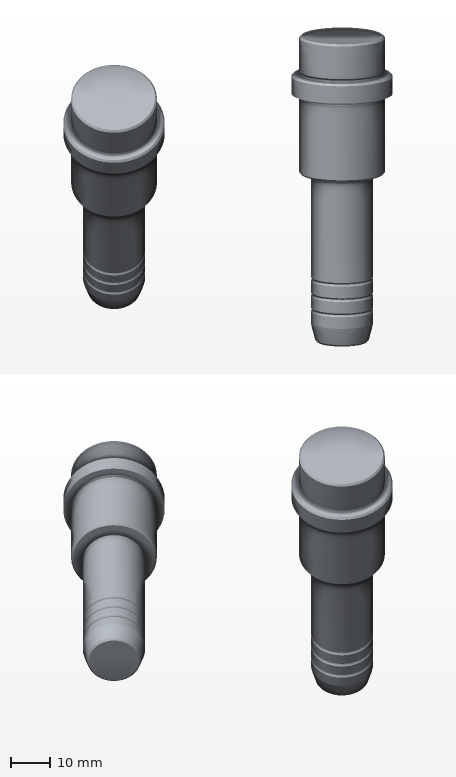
import cadquery as cq

LENGTH = 80.0
HEAD_RADIUS = 22.0 / 2
FLANGE_RADIUS = 26.0 / 2
SHANK_RADIUS = 8.0
EDGE = 0.5

FLANGE_TOP = 70.0
FLANGE_BOTTOM = 65.0
HEAD_BOTTOM = 44.0
SHANK_TOP = HEAD_BOTTOM - 2 * EDGE
TIP_TOP = 5.0

GROOVE_PITCH = 4.0
LOWEST_GROOVE = 8.5
GROOVE_COUNT = 3

TIP_RADIUS = 6.9
TIP_MID_RADIUS = 7.5

inner_head_radius = HEAD_RADIUS - EDGE
shank_neck_radius = SHANK_RADIUS - EDGE
tip_mid_height = (TIP_TOP + EDGE) / 2


def make_body():
    """Revolve the stepped half-section, from the tip up to the head."""
    section = (
        cq.Workplane("XZ")
        .lineTo(TIP_RADIUS - EDGE, 0)
        .lineTo(TIP_RADIUS, EDGE)
        .threePointArc((TIP_MID_RADIUS, tip_mid_height), (SHANK_RADIUS, TIP_TOP))
        .lineTo(SHANK_RADIUS, SHANK_TOP)
        .lineTo(shank_neck_radius, SHANK_TOP)
        .lineTo(shank_neck_radius, HEAD_BOTTOM)
        .lineTo(inner_head_radius, HEAD_BOTTOM)
        .lineTo(HEAD_RADIUS, HEAD_BOTTOM + EDGE)
        .lineTo(HEAD_RADIUS, FLANGE_BOTTOM - 2 * EDGE)
        .lineTo(inner_head_radius, FLANGE_BOTTOM - EDGE)
        .lineTo(HEAD_RADIUS, FLANGE_BOTTOM)
        .lineTo(FLANGE_RADIUS, FLANGE_BOTTOM)
        .lineTo(FLANGE_RADIUS, FLANGE_TOP - EDGE)
        .lineTo(FLANGE_RADIUS - EDGE, FLANGE_TOP)
        .lineTo(HEAD_RADIUS, FLANGE_TOP)
        .lineTo(inner_head_radius, FLANGE_TOP + EDGE)
        .lineTo(HEAD_RADIUS, FLANGE_TOP + 2 * EDGE)
        .lineTo(HEAD_RADIUS, LENGTH - EDGE)
        .lineTo(inner_head_radius, LENGTH)
        .lineTo(0, LENGTH)
        .close()
    )
    return section.revolve(360, (0, 0, 0), (0, 1, 0))


def make_groove(height):
    """Ring that cuts a V-groove into the shank."""
    section = (
        cq.Workplane("XZ")
        .moveTo(SHANK_RADIUS - EDGE, height)
        .lineTo(SHANK_RADIUS + EDGE, height + 2 * EDGE)
        .lineTo(SHANK_RADIUS + EDGE, height - 2 * EDGE)
        .close()
    )
    return section.revolve(360, (0, 0, 0), (0, 1, 0))


result = make_body()
for index in range(GROOVE_COUNT):
    result = result.cut(make_groove(LOWEST_GROOVE + index * GROOVE_PITCH))